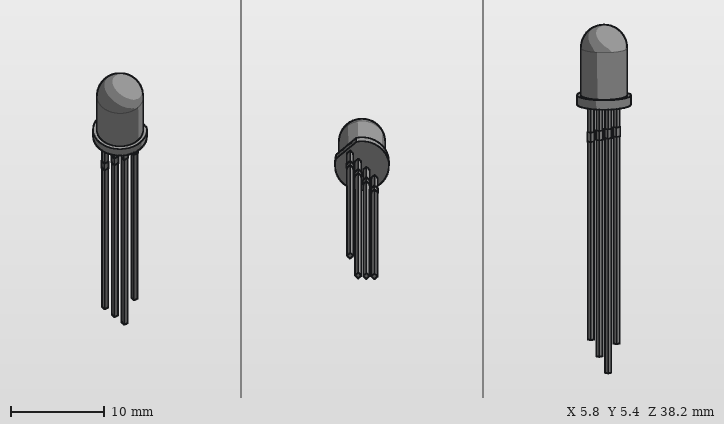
import cadquery as cq

total_height = 38.2
housing_height = 8.7

lens_diameter = 5.0
lens_radius = lens_diameter / 2
flange_diameter = 5.8
flange_radius = flange_diameter / 2
flange_height = 1.05
flat_y = lens_radius

lead_width = 0.5
lead_pitch = 1.3
longest_lead = total_height - housing_height
lead_shortfalls = [4.0, 2.0, 0.0, 3.0]
lead_x = -0.05
collar_width_x = 0.55
collar_width_y = 0.57
collar_height = 1.05
collar_drop = 2.75


def make_housing():
    """Flange with one flat, and the domed lens standing on it, as one solid."""
    flange = cq.Workplane("XY").circle(flange_radius).extrude(flange_height)
    beyond_flat = (
        cq.Workplane("XY", origin=(0, flat_y, 0))
        .box(flange_diameter, flange_diameter, flange_height, centered=(True, False, False))
    )
    flange = flange.cut(beyond_flat)

    dome_base = housing_height - lens_radius
    lens = (
        cq.Workplane("XZ", origin=(0, 0, flange_height))
        .lineTo(lens_radius, 0)
        .lineTo(lens_radius, dome_base - flange_height)
        .radiusArc((0, housing_height - flange_height), -lens_radius)
        .close()
        .revolve(360, (0, 0, 0), (0, 1, 0))
    )
    return flange.union(lens)


def make_lead(center_y, length):
    """A square lead hanging from the flange, with its collar."""
    wire = (
        cq.Workplane("XY")
        .center(lead_x, center_y)
        .rect(lead_width, lead_width)
        .extrude(-length)
    )
    collar = (
        cq.Workplane("XY", origin=(lead_x, center_y, -collar_drop))
        .rect(collar_width_x, collar_width_y)
        .extrude(-collar_height)
    )
    return wire.union(collar)


housing = make_housing()

first_lead_y = -lead_pitch * (len(lead_shortfalls) - 1) / 2
leads = []
for index, shortfall in enumerate(lead_shortfalls):
    lead = make_lead(first_lead_y + index * lead_pitch, longest_lead - shortfall)
    leads.append(lead.val())

result = cq.Compound.makeCompound([housing.val(), *leads])